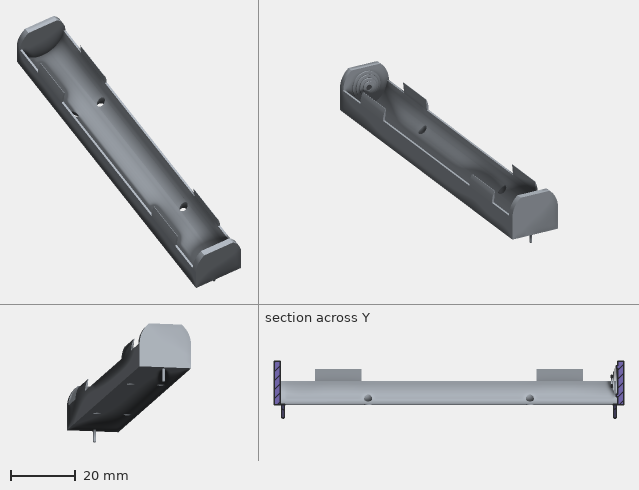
import cadquery as cq
import math

length = 107.8
width = 16.2
rim_height = 7.3
end_height = 13.6
end_thickness = 2.0
arc_radius = width / 2
arc_axis_height = rim_height

seat_radius = 7.4
floor_thickness = 0.2
seat_axis_height = floor_thickness + seat_radius

clip_height = 11.1
clip_tip_thickness = 0.1
clip_length = 14.2
clip_end_distance = 12.7

hole_diameter = 2.5
hole_spacing_x = 49.8
hole_spacing_y = 9.5

nub_diameter = 0.02
nub_height = 0.1

pin_diameter = 0.9
pin_tip_diameter = 0.02
pin_length = 4.1
pin_spacing = 102.2

ring_width = 1.0
ring_thickness = 0.38
ring_pitch = 0.52
largest_ring_diameter = 9.7
free_ring_count = 3


def rounded_end_profile():
    """Closed YZ outline of an end wall with its two rounded shoulders."""
    half_top = math.sqrt(arc_radius**2 - (end_height - arc_axis_height) ** 2)
    middle_angle = math.atan2(end_height - arc_axis_height, half_top) / 2
    middle_y = arc_radius * math.cos(middle_angle)
    middle_z = arc_axis_height + arc_radius * math.sin(middle_angle)
    return (
        cq.Workplane("YZ")
        .moveTo(-width / 2, 0)
        .lineTo(width / 2, 0)
        .lineTo(width / 2, arc_axis_height)
        .threePointArc((middle_y, middle_z), (half_top, end_height))
        .lineTo(-half_top, end_height)
        .threePointArc((-middle_y, middle_z), (-width / 2, arc_axis_height))
        .close()
    )


def box_on_base(size_x, height, center_x):
    """Full-width block standing on the base plane."""
    return cq.Workplane("XY").center(center_x, 0).box(size_x, width, height, centered=(True, True, False))


def make_ring(index):
    """Flat contact ring; rings with a higher index are smaller and farther from the end wall."""
    outer_radius = largest_ring_diameter / 2 - index * ring_width
    wall_face_x = length / 2 - end_thickness
    return (
        cq.Workplane("YZ", origin=(wall_face_x - index * ring_pitch, 0, arc_axis_height))
        .circle(outer_radius)
        .circle(outer_radius - ring_width)
        .extrude(-ring_thickness)
    )


def make_seat_cutter():
    """Round seat up to the rim, continued by flat faces that lean inward to thin the clips."""
    rim_half_gap = math.sqrt(seat_radius**2 - (seat_axis_height - rim_height) ** 2)
    clip_outer_y = math.sqrt(arc_radius**2 - (clip_height - arc_axis_height) ** 2)
    tip_half_gap = clip_outer_y - clip_tip_thickness
    return (
        cq.Workplane("YZ")
        .moveTo(-rim_half_gap, rim_height)
        .threePointArc((0, floor_thickness), (rim_half_gap, rim_height))
        .lineTo(tip_half_gap, clip_height)
        .lineTo(-tip_half_gap, clip_height)
        .close()
        .extrude(length / 2 - end_thickness, both=True)
    )


def make_housing():
    envelope = rounded_end_profile().extrude(length / 2, both=True)

    kept = box_on_base(length, rim_height, 0)
    clip_x = length / 2 - clip_end_distance - clip_length / 2
    for side in (-1, 1):
        kept = kept.union(box_on_base(clip_length, clip_height, side * clip_x))
    trough = envelope.intersect(kept)

    seat = make_seat_cutter()
    holes = (
        cq.Workplane("XY")
        .rarray(hole_spacing_x, hole_spacing_y, 2, 2)
        .circle(hole_diameter / 2)
        .extrude(rim_height)
    )
    body = trough.cut(seat).cut(holes)

    end_wall_x = (length - end_thickness) / 2
    for side in (-1, 1):
        end_wall = envelope.intersect(box_on_base(end_thickness, end_height, side * end_wall_x))
        body = body.union(end_wall)
    nub = cq.Workplane("XY").circle(nub_diameter / 2).extrude(-nub_height)
    return body.union(make_ring(0)).union(nub)


def make_pin(center_x):
    """Terminal pin hanging from the base, with a rounded tip."""
    tip_rounding = (pin_diameter - pin_tip_diameter) / 2
    return (
        cq.Workplane("XY")
        .center(center_x, 0)
        .circle(pin_diameter / 2)
        .extrude(-pin_length)
        .faces("<Z")
        .edges()
        .fillet(tip_rounding)
    )


housing = make_housing()
pins = [make_pin(side * pin_spacing / 2) for side in (-1, 1)]
free_rings = [make_ring(index) for index in range(1, free_ring_count + 1)]

result = cq.Compound.makeCompound(
    [housing.val(), *[pin.val() for pin in pins], *[ring.val() for ring in free_rings]]
)